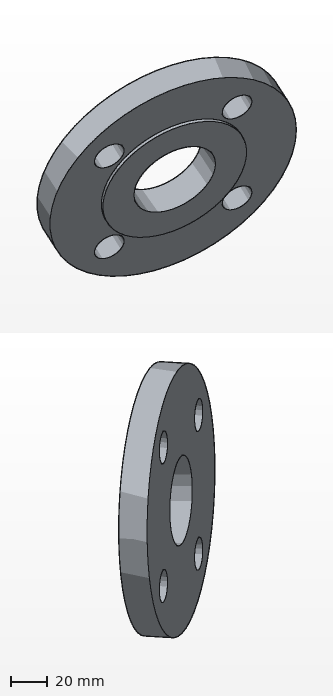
import cadquery as cq

flange_diameter = 150.0
total_thickness = 18.0
raised_face_height = 2.0
disc_thickness = total_thickness - raised_face_height
raised_face_diameter = 87.5

bore_diameter = 49.5
bolt_circle_diameter = 110.0
bolt_hole_diameter = 18.0
bolt_count = 4
first_bolt_angle = 45.0

disc = cq.Workplane("YZ").circle(flange_diameter / 2).extrude(disc_thickness)
raised_face = (
    cq.Workplane("YZ", origin=(disc_thickness, 0, 0))
    .circle(raised_face_diameter / 2)
    .extrude(raised_face_height)
)
body = disc.union(raised_face)

bore = cq.Workplane("YZ").circle(bore_diameter / 2).extrude(total_thickness)
bolt_holes = (
    cq.Workplane("YZ")
    .polarArray(bolt_circle_diameter / 2, first_bolt_angle, 360, bolt_count)
    .circle(bolt_hole_diameter / 2)
    .extrude(total_thickness)
)

result = body.cut(bore).cut(bolt_holes)